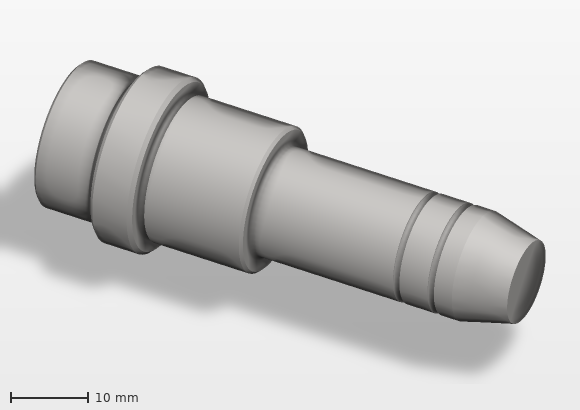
import cadquery as cq
import math

total_length = 66.0
head_diameter = 20.0
head_radius = head_diameter / 2
flange_radius = 12.0
shank_diameter = 15.0
shank_radius = shank_diameter / 2
tip_radius = 5.7

flange_start = 9.0
flange_end = 15.0
shoulder_end = 29.95
nose_start = 58.95
shank_groove_centers = (50.95, 55.9)

edge_chamfer = 0.4
flange_chamfer = 0.5
relief_radius = 0.5
shank_groove_radius = 0.45
shank_fillet = 0.6

fillet_end_x = shoulder_end + shank_fillet
fillet_mid_offset = shank_fillet * (1 - math.sqrt(0.5))


def body():
    """Revolve the half outline of the plug, without its grooves."""
    outline = (
        cq.Workplane("XY")
        .moveTo(0, 0)
        .lineTo(0, head_radius - edge_chamfer)
        .lineTo(edge_chamfer, head_radius)
        .lineTo(flange_start, head_radius)
        .lineTo(flange_start, flange_radius - flange_chamfer)
        .lineTo(flange_start + flange_chamfer, flange_radius)
        .lineTo(flange_end - flange_chamfer, flange_radius)
        .lineTo(flange_end, flange_radius - flange_chamfer)
        .lineTo(flange_end, head_radius)
        .lineTo(shoulder_end - edge_chamfer, head_radius)
        .lineTo(shoulder_end, head_radius - edge_chamfer)
        .lineTo(shoulder_end, shank_radius + shank_fillet)
        .threePointArc(
            (shoulder_end + fillet_mid_offset, shank_radius + fillet_mid_offset),
            (fillet_end_x, shank_radius),
        )
        .lineTo(nose_start, shank_radius)
        .lineTo(total_length, tip_radius)
        .lineTo(total_length, 0)
        .close()
    )
    return outline.revolve(360, (0, 0, 0), (1, 0, 0))


def round_groove(center_x, surface_radius, groove_radius):
    """Ring that cuts a half-round groove centered on a cylindrical surface."""
    return cq.Workplane("XY").add(
        cq.Solid.makeTorus(
            surface_radius, groove_radius, cq.Vector(center_x, 0, 0), cq.Vector(1, 0, 0)
        )
    )


result = body()

for center_x in (flange_start - relief_radius, flange_end + relief_radius):
    result = result.cut(round_groove(center_x, head_radius, relief_radius))

for center_x in shank_groove_centers:
    result = result.cut(round_groove(center_x, shank_radius, shank_groove_radius))